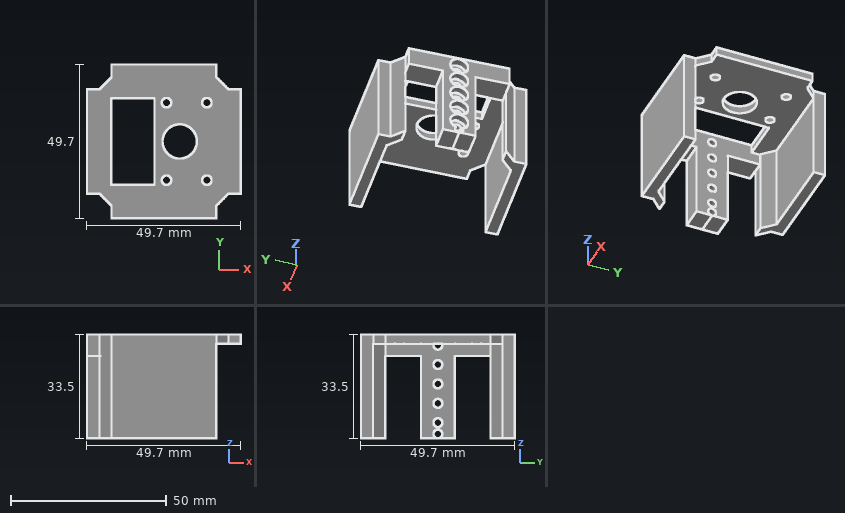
import cadquery as cq

width = 49.7
height = 33.5
half_width = width / 2

face_width = 33.8
half_face = face_width / 2
step = 4.08
chamfer_start = half_width - step

plate_thickness = 3.0
window_length_x = 13.85
window_length_y = 27.8
shaft_hole_diameter = 11.0
shaft_hole_x = 5.1
mount_hole_diameter = 3.0
mount_hole_center_x = 7.35
mount_spacing_x = 13.0
mount_spacing_y = 25.0

wall_thickness = 4.0
wall_inner = half_width - wall_thickness
lip_width = 4.2

beam_depth = half_width - half_face
beam_height = 7.0
leg_width = 11.0

screw_count = 5
screw_pitch = 6.25
first_screw_drop = 3.45
screw_diameter = 2.8
head_diameter = 6.0
head_depth = 3.0


def box(x_range, y_range, z_range):
    """Axis-aligned block between the given limits."""
    size = [limits[1] - limits[0] for limits in (x_range, y_range, z_range)]
    corner = (x_range[0], y_range[0], z_range[0])
    return cq.Workplane("XY").box(*size, centered=False).translate(corner)


def make_plate():
    """Square plate with four notched and chamfered corners."""
    outline = []
    corner = [
        (half_width, half_face),
        (chamfer_start, half_face),
        (half_face, chamfer_start),
        (half_face, half_width),
    ]
    for _ in range(4):
        outline += corner
        corner = [(-y, x) for x, y in corner]
    return cq.Workplane("XY").polyline(outline).close().extrude(-plate_thickness)


def make_wall():
    """Full-height +Y wall with its diagonal lip."""
    lip_inner_x = lip_width - chamfer_start
    outline = [
        (half_face, half_width),
        (-half_face, half_width),
        (-half_face, chamfer_start),
        (-chamfer_start, half_face),
        (lip_inner_x, half_face),
        (lip_inner_x + wall_inner - half_face, wall_inner),
        (half_face, wall_inner),
    ]
    return cq.Workplane("XY").polyline(outline).close().extrude(-height)


def make_beam_and_leg():
    """T-shaped support along the -X side."""
    x_range = (-half_width, beam_depth - half_width)
    beam = box(x_range, (-half_face, half_face), (-beam_height, 0))
    leg = box(x_range, (-leg_width / 2, leg_width / 2), (-height, 0))
    return beam.union(leg)


def make_plate_openings():
    """Rectangular window, central shaft hole and four mounting holes."""
    window = box(
        (-half_face, window_length_x - half_face),
        (-window_length_y / 2, window_length_y / 2),
        (-plate_thickness, 0),
    )
    shaft_hole = (
        cq.Workplane("XY")
        .center(shaft_hole_x, 0)
        .circle(shaft_hole_diameter / 2)
        .extrude(-plate_thickness)
    )
    mount_holes = (
        cq.Workplane("XY")
        .center(mount_hole_center_x, 0)
        .rarray(mount_spacing_x, mount_spacing_y, 2, 2)
        .circle(mount_hole_diameter / 2)
        .extrude(-plate_thickness)
    )
    return window.union(shaft_hole).union(mount_holes)


def make_bores(drops, diameter, depth):
    """Cylinders running in +X from the -X face, at the given drops below the top."""
    return (
        cq.Workplane("YZ", origin=(-half_width, 0, 0))
        .pushPoints([(0, -drop) for drop in drops])
        .circle(diameter / 2)
        .extrude(depth)
    )


wall = make_wall()
screw_drops = [first_screw_drop + i * screw_pitch for i in range(screw_count)]
bottom_hole_drop = height - screw_diameter / 2

result = make_plate().union(wall).union(wall.mirror("XZ")).union(make_beam_and_leg())
result = result.cut(make_plate_openings())
result = result.cut(make_bores(screw_drops, head_diameter, head_depth))
result = result.cut(make_bores(screw_drops + [bottom_hole_drop], screw_diameter, beam_depth))